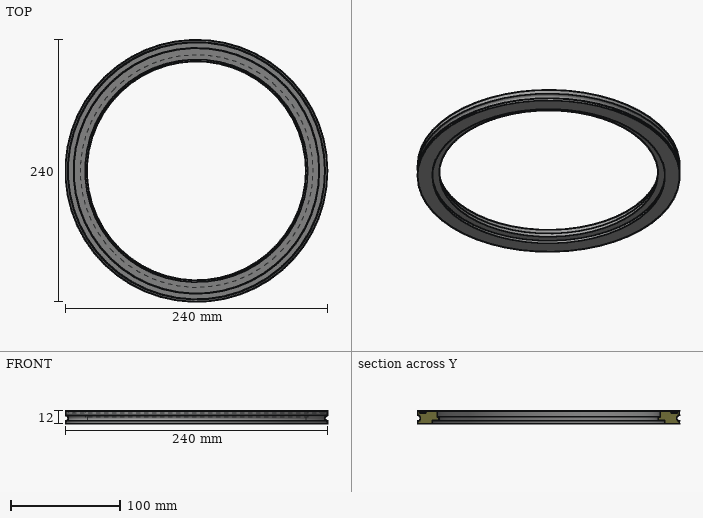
import cadquery as cq

outer_diameter = 240.0
height = 12.0

upper_bore_diameter = 203.8
lip_diameter = 200.2
lower_bore_diameter = 213.0
lip_bottom = 3.0
lip_top = 6.5

face_groove_inner_diameter = 225.1
face_groove_outer_diameter = 235.0
face_groove_depth = 2.0
face_groove_taper = 0.35

rim_groove_bottom = 2.6
rim_groove_top = 7.7
rim_groove_depth = 2.5


def ring(inner_diameter, ring_outer_diameter, bottom, top):
    """Flat ring between two diameters and two heights."""
    return (
        cq.Workplane("XY")
        .workplane(offset=bottom)
        .circle(ring_outer_diameter / 2)
        .circle(inner_diameter / 2)
        .extrude(top - bottom)
    )


def bore(diameter, bottom, top):
    """Cylinder that opens the ring between two heights."""
    return cq.Workplane("XY").workplane(offset=bottom).circle(diameter / 2).extrude(top - bottom)


def face_groove():
    """Trapezoidal groove, narrower at its floor, revolved about the ring axis."""
    inner_radius = face_groove_inner_diameter / 2
    outer_radius = face_groove_outer_diameter / 2
    floor = height - face_groove_depth
    return (
        cq.Workplane("XZ")
        .moveTo(inner_radius - face_groove_taper, height)
        .lineTo(inner_radius, floor)
        .lineTo(outer_radius, floor)
        .lineTo(outer_radius + face_groove_taper, height)
        .close()
        .revolve(360, (0, 0, 0), (0, 1, 0))
    )


def rim_groove():
    """Arc-shaped groove profile revolved about the ring axis."""
    outer_radius = outer_diameter / 2
    mid_height = (rim_groove_bottom + rim_groove_top) / 2
    return (
        cq.Workplane("XZ")
        .moveTo(outer_radius, rim_groove_bottom)
        .threePointArc(
            (outer_radius - rim_groove_depth, mid_height),
            (outer_radius, rim_groove_top),
        )
        .close()
        .revolve(360, (0, 0, 0), (0, 1, 0))
    )


body = ring(lip_diameter, outer_diameter, 0, height)
body = body.cut(bore(upper_bore_diameter, lip_top, height))
body = body.cut(bore(lower_bore_diameter, 0, lip_bottom))

result = body.cut(face_groove()).cut(rim_groove())